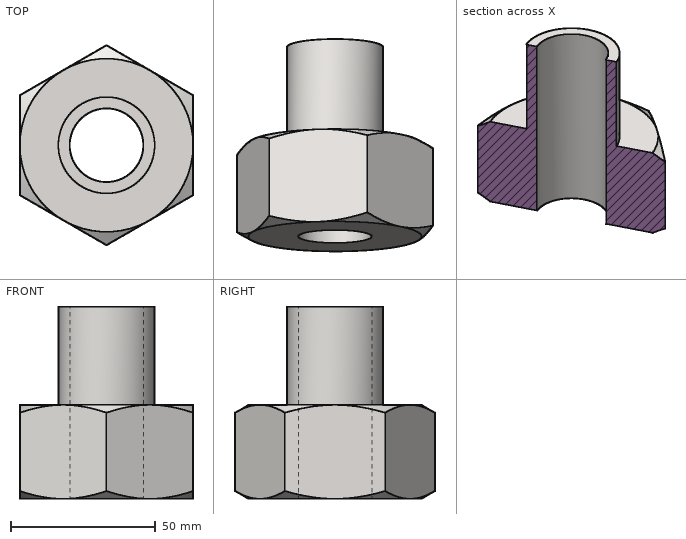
import cadquery as cq
import math

corner_width = 69.3
flat_width = corner_width * math.cos(math.radians(30))
nut_height = 32.5
chamfer_angle = 30.0

total_height = 66.5
tube_diameter = 33.4
bore_diameter = 25.4


def chamfer_envelope():
    """Revolved body whose conical ends trim the corners of the hexagon."""
    flat_radius = flat_width / 2
    corner_radius = corner_width / 2
    drop = (corner_radius - flat_radius) * math.tan(math.radians(chamfer_angle))
    return (
        cq.Workplane("XZ")
        .moveTo(0, 0)
        .lineTo(flat_radius, 0)
        .lineTo(corner_radius, drop)
        .lineTo(corner_radius, nut_height - drop)
        .lineTo(flat_radius, nut_height)
        .lineTo(0, nut_height)
        .close()
        .revolve(360, (0, 0, 0), (0, 1, 0))
    )


def hex_nut():
    """Hexagon with corners on the Y axis and both ends chamfered."""
    hexagon = (
        cq.Workplane("XY")
        .transformed(rotate=(0, 0, 90))
        .polygon(6, corner_width)
        .extrude(nut_height)
    )
    return hexagon.intersect(chamfer_envelope())


tube = cq.Workplane("XY").circle(tube_diameter / 2).extrude(total_height)
bore = cq.Workplane("XY").circle(bore_diameter / 2).extrude(total_height)

result = hex_nut().union(tube).cut(bore)